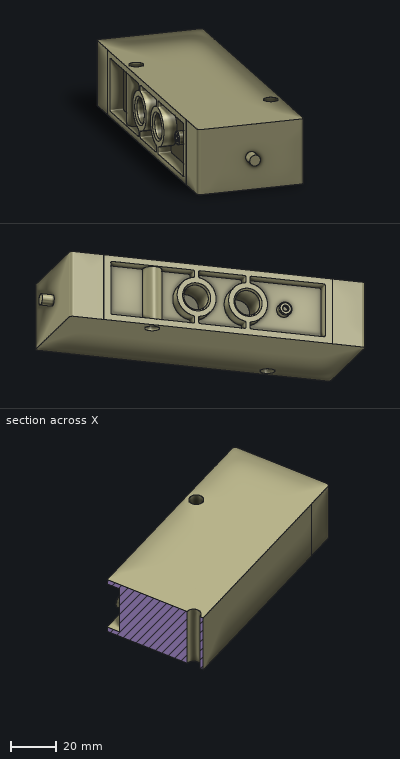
import cadquery as cq

overall_length = 149.0
body_width = 50.0
body_height = 30.4
pin_length = 5.5
pin_diameter = 5.0
body_length = overall_length - 2 * pin_length
corner_radius = 1.6

middle_length = 106.7
cap_recess = 0.07

front_y = -body_width / 2
pocket_length = 100.1
pocket_height = 24.7
pocket_depth = 6.3
pocket_corner_radius = 0.7
floor_y = front_y + pocket_depth

port_pitch = 24.0
first_port_x = -10.0
port_positions = [first_port_x, first_port_x + port_pitch]
port_outer_diameter = 18.2
port_bore_diameter = 11.5
port_mouth_diameter = 13.1
port_depth = 14.9
web_width = 2.0

mount_hole_diameter = 6.5
mount_hole_offset_y = 20.0
front_hole_x = -29.0
rear_hole_x = 38.0
column_diameter = 8.5

button_x = 32.5
button_diameter = 6.1
button_height = 3.6
button_edge_chamfer = 0.5
button_hole_chamfer = 0.22
button_hole_diameter = 2.5
button_hole_depth = 1.5


def disc_along_y(diameter, x, start_y, length):
    """Cylinder along +Y on the mid-height line, starting at start_y."""
    start = cq.Vector(x, start_y, 0)
    return cq.Workplane(obj=cq.Solid.makeCylinder(diameter / 2, length, start, cq.Vector(0, 1, 0)))


def make_body():
    """Block with rounded upright corners, a slightly proud middle and a pin at each end."""
    caps = cq.Workplane().box(body_length, body_width - 2 * cap_recess, body_height)
    middle = cq.Workplane().box(middle_length, body_width, body_height)
    pins = cq.Workplane("YZ").circle(pin_diameter / 2).extrude(overall_length / 2, both=True)
    return caps.edges("|Z").fillet(corner_radius).union(middle).union(pins)


def pocket_block(length, height):
    """Block filling the pocket depth, centred on the front side."""
    return cq.Workplane().box(length, pocket_depth, height).translate((0, front_y + pocket_depth / 2, 0))


def make_pocket():
    """Pocket volume with the ports and webs left standing."""
    pocket = pocket_block(pocket_length, pocket_height)
    for x in port_positions:
        pocket = pocket.cut(pocket_block(web_width, pocket_height).translate((x, 0, 0)))
        pocket = pocket.cut(disc_along_y(port_outer_diameter, x, front_y, pocket_depth))
    return pocket.edges("|Y").fillet(pocket_corner_radius)


def make_column():
    """Round-fronted column carrying the front mounting hole through the pocket."""
    column = cq.Workplane().center(front_hole_x, -mount_hole_offset_y).circle(column_diameter / 2)
    return column.extrude(pocket_height / 2, both=True)


def make_port_bore(x):
    """Blind bore with a 45 degree countersunk mouth."""
    mouth_depth = (port_mouth_diameter - port_bore_diameter) / 2
    mouth = cq.Solid.makeCone(
        port_mouth_diameter / 2,
        port_bore_diameter / 2,
        mouth_depth,
        cq.Vector(x, front_y, 0),
        cq.Vector(0, 1, 0),
    )
    return disc_along_y(port_bore_diameter, x, front_y, port_depth).union(cq.Workplane(obj=mouth))


def make_mount_hole(x, y):
    """Cutter for a vertical hole through the full height."""
    return cq.Workplane().center(x, y).circle(mount_hole_diameter / 2).extrude(body_height, both=True)


def make_button():
    """Button with a chamfered rim and a small countersunk centre hole."""
    top_y = floor_y - button_height
    button = disc_along_y(button_diameter, button_x, top_y, button_height)
    button = button.faces("<Y").chamfer(button_edge_chamfer)
    button = button.cut(disc_along_y(button_hole_diameter, button_x, top_y, button_hole_depth))
    hole_edge = button.faces("<Y").edges(cq.selectors.RadiusNthSelector(0))
    return hole_edge.chamfer(button_hole_chamfer)


result = make_body().cut(make_pocket()).union(make_column()).union(make_button())
for port_x in port_positions:
    result = result.cut(make_port_bore(port_x))
result = result.cut(make_mount_hole(front_hole_x, -mount_hole_offset_y))
result = result.cut(make_mount_hole(rear_hole_x, mount_hole_offset_y))